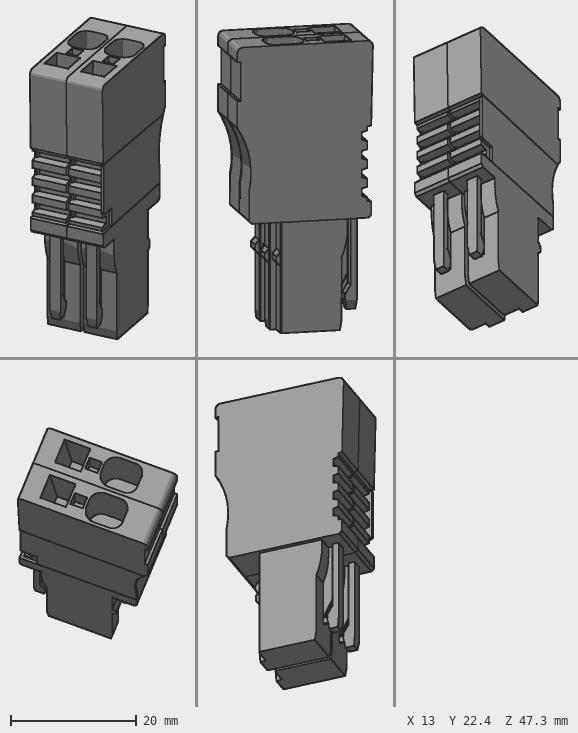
import cadquery as cq


pole_count = 2
total_width = 13.0
total_height = 47.3
module_width = total_width / pole_count

housing_depth = 22.35
housing_bottom = 18.3
top_round = 0.95
bottom_chamfer = 0.45
front_setback = 0.3
lower_back = 20.4
waist_bottom = 23.8
waist_middle = 26.82
waist_back = 20.1
waist_top = 34.1
label_bottom = 38.55
label_top = 44.9
label_depth = 0.5

grip_bottom = 20.9
grip_top = 33.4
grip_edge_slope = 0.15
rib_front = 0.95
groove_count = 4
groove_pitch = 3.08
first_groove = 22.5
groove_mouth = 1.75
groove_floor = 1.25
lip_front = 1.85
groove_back = 2.25
lip_width = 0.35
lip_slope = 0.3

recess_depth = 0.45
recess_bottom = 21.0
recess_top = 33.25
recess_taper = 0.3
cover_front = 0.45
cover_step_front = 3.3
cover_step_height = 24.2
cover_chamfer = 0.35

button_width = 5.3
button_length = 6.35
button_center = (3.3, 13.95)
button_back_radius = 1.7
button_front_radius = 2.1
button_depth = 9.45
test_width = 2.0
test_length = 2.15
test_center = (3.4, 9.25)
test_depth = 3.8
wire_left = 0.95
wire_width = 4.2
wire_front = 3.35
wire_back = 7.75
wire_floor_front = 4.6
wire_floor_back = 7.3
wire_depth = 8.5

tongue_left = 0.6
tongue_width = module_width - tongue_left
tongue_front = 5.0
tongue_neck_front = 4.05
tongue_back = 15.05
neck_start = 11.95
neck_end = 16.5
foot_taper = 0.3
foot_taper_height = 1.6
rail_left = tongue_left + tongue_width / 2
rail_back = 16.25
edge_chamfer = 0.2
rail_foot_run = 0.2
rail_foot_height = 1.4

bump_height = 12.1
bump_base = 2.35
bump_tip = 0.85
bump_rise = 0.65

finger_center = 3.55
finger_width = 1.95
finger_front = 2.0
finger_back = 3.05
finger_foot_back = 3.95
finger_slope_top = 6.95
bridge_top = 5.5
bridge_bottom = 4.45
web_width = 0.4
web_front = 3.45
web_slope_top = 8.45
web_bottom = 5.5
tip_height = 1.55
tip_inset = 0.25


def extrude_x(outline, left, width):
    """Turn a closed (Y, Z) outline into a solid that runs along X from `left`."""
    return outline.extrude(width).translate((left, 0, 0))


def polygon(points, left, width):
    return extrude_x(cq.Workplane("YZ").polyline(points).close(), left, width)


def housing_shell():
    outline = (
        cq.Workplane("YZ")
        .moveTo(front_setback + bottom_chamfer, housing_bottom)
        .lineTo(lower_back - bottom_chamfer, housing_bottom)
        .lineTo(lower_back, housing_bottom + bottom_chamfer)
        .lineTo(lower_back, waist_bottom)
        .threePointArc((waist_back, waist_middle), (housing_depth, waist_top))
        .lineTo(housing_depth, label_bottom)
        .lineTo(housing_depth - label_depth, label_bottom)
        .lineTo(housing_depth - label_depth, label_top)
        .lineTo(housing_depth, label_top)
        .lineTo(housing_depth, total_height - top_round)
        .tangentArcPoint((housing_depth - top_round, total_height), relative=False)
        .lineTo(top_round, total_height)
        .tangentArcPoint((0, total_height - top_round), relative=False)
        .lineTo(front_setback, grip_top)
        .lineTo(rib_front, grip_top - grip_edge_slope)
        .lineTo(rib_front, grip_bottom + grip_edge_slope)
        .lineTo(front_setback, grip_bottom)
        .lineTo(front_setback, housing_bottom + bottom_chamfer)
        .close()
    )
    return extrude_x(outline, 0, module_width)


def grip_groove(height):
    """Trapezoid groove along X with a deeper pocket behind the lip at its outer end."""
    channel_points = [
        (rib_front, height - groove_mouth / 2),
        (lip_front, height - groove_floor / 2),
        (lip_front, height + groove_floor / 2),
        (rib_front, height + groove_mouth / 2),
    ]
    channel = polygon(channel_points, 0, module_width)
    pocket_points = [
        (lip_width, lip_front),
        (lip_width + lip_slope, groove_back),
        (module_width, groove_back),
        (module_width, lip_front),
    ]
    pocket = cq.Workplane("XY").polyline(pocket_points).close().extrude(groove_floor)
    return channel.union(pocket.translate((0, 0, height - groove_floor / 2)))


def side_recess():
    """Shallow recess in the +X side that runs through from front to back."""
    points = [
        (0, recess_bottom),
        (housing_depth, recess_bottom + recess_taper),
        (housing_depth, recess_top - recess_taper),
        (0, recess_top),
    ]
    return polygon(points, module_width - recess_depth, recess_depth)


def button_opening():
    x, y = button_center
    opening = cq.Workplane("XY").box(button_width, button_length, button_depth)
    opening = opening.edges("|Z and >Y").fillet(button_back_radius)
    opening = opening.edges("|Z and <Y").fillet(button_front_radius)
    return opening.translate((x, y, total_height - button_depth / 2))


def test_opening():
    x, y = test_center
    opening = cq.Workplane("XY").box(test_width, test_length, test_depth)
    return opening.translate((x, y, total_height - test_depth / 2))


def wire_opening():
    """Rectangular wire entry that narrows to its floor at the front and the back."""
    floor = total_height - wire_depth
    points = [
        (wire_front, total_height),
        (wire_floor_front, floor),
        (wire_floor_back, floor),
        (wire_back, total_height),
    ]
    return polygon(points, wire_left, wire_width)


def detent_bump(back, left, right):
    points = [
        (back, bump_height - bump_base / 2),
        (back + bump_rise, bump_height - bump_tip / 2),
        (back + bump_rise, bump_height + bump_tip / 2),
        (back, bump_height + bump_base / 2),
    ]
    return polygon(points, left, right - left)


def tongue():
    outline = (
        cq.Workplane("YZ")
        .moveTo(tongue_neck_front, housing_bottom)
        .lineTo(tongue_neck_front, neck_end)
        .tangentArcPoint((tongue_front, neck_start), relative=False)
        .lineTo(tongue_front, foot_taper_height)
        .lineTo(tongue_front + foot_taper, 0)
        .lineTo(tongue_back, 0)
        .lineTo(tongue_back, housing_bottom)
        .close()
    )
    body = extrude_x(outline, tongue_left, tongue_width)
    body = body.edges("<X and >Y").chamfer(edge_chamfer)
    rail_points = [
        (tongue_back, 0),
        (rail_back - rail_foot_run, 0),
        (rail_back, rail_foot_height),
        (rail_back, housing_bottom),
        (tongue_back, housing_bottom),
    ]
    rail = polygon(rail_points, rail_left, module_width - rail_left)
    rail = rail.edges("<X and >Y").chamfer(edge_chamfer)
    body = body.union(rail)
    body = body.union(detent_bump(tongue_back, tongue_left + edge_chamfer, rail_left))
    return body.union(detent_bump(rail_back, rail_left + edge_chamfer, module_width))


def latch_finger():
    """Finger hanging from the housing, joined to the tongue by a web above and a bridge at its foot."""
    finger_left = finger_center - finger_width / 2
    web_left = finger_center - web_width / 2
    finger_points = [
        (finger_front, housing_bottom),
        (finger_front, bridge_bottom),
        (finger_foot_back, bridge_bottom),
        (finger_foot_back, bridge_top),
        (finger_back, finger_slope_top),
        (finger_back, housing_bottom),
    ]
    finger = polygon(finger_points, finger_left, finger_width)
    web_points = [
        (web_front, housing_bottom),
        (web_front, web_slope_top),
        (tongue_front, web_bottom),
        (tongue_front, housing_bottom),
    ]
    web = polygon(web_points, web_left, web_width)
    bridge_points = [
        (finger_foot_back, bridge_bottom),
        (tongue_front, bridge_bottom),
        (tongue_front, bridge_top),
        (finger_foot_back, bridge_top),
    ]
    bridge = polygon(bridge_points, web_left, web_width)
    foot_length = finger_foot_back - finger_front
    tip = (
        cq.Workplane("XY")
        .rect(finger_width, foot_length)
        .workplane(offset=-tip_height)
        .rect(finger_width - 2 * tip_inset, foot_length - 2 * tip_inset)
        .loft(ruled=True)
        .translate((finger_center, finger_front + foot_length / 2, bridge_bottom))
    )
    return finger.union(web).union(bridge).union(tip)


def pole_module(index):
    body = housing_shell()
    for groove in range(groove_count):
        body = body.cut(grip_groove(first_groove + groove * groove_pitch))
    body = body.cut(side_recess())
    body = body.cut(button_opening())
    body = body.cut(test_opening())
    body = body.cut(wire_opening())
    body = body.union(tongue()).union(latch_finger())
    return body.translate((index * module_width, 0, 0))


def end_cover():
    """Plate that fills the recess of the last module, with its lower front part set back."""
    cover = side_recess().intersect(cover_outline())
    return cover.translate(((pole_count - 1) * module_width, 0, 0))


def cover_outline():
    """Side profile of the cover: a stepped front edge, and the waist curve of the housing at the back."""
    outline = (
        cq.Workplane("YZ")
        .moveTo(cover_step_front, housing_bottom)
        .lineTo(lower_back, housing_bottom)
        .lineTo(lower_back, waist_bottom)
        .threePointArc((waist_back, waist_middle), (housing_depth, waist_top))
        .lineTo(cover_front + cover_chamfer, waist_top)
        .lineTo(cover_front + cover_chamfer, recess_top)
        .lineTo(cover_front, recess_top - cover_chamfer)
        .lineTo(cover_front, cover_step_height + cover_chamfer)
        .lineTo(cover_front + cover_chamfer, cover_step_height)
        .lineTo(cover_step_front, cover_step_height)
        .close()
    )
    return extrude_x(outline, module_width - recess_depth, recess_depth)


modules = [pole_module(index) for index in range(pole_count)]
cover = end_cover()

result = cq.Compound.makeCompound([*[module.val() for module in modules], cover.val()])